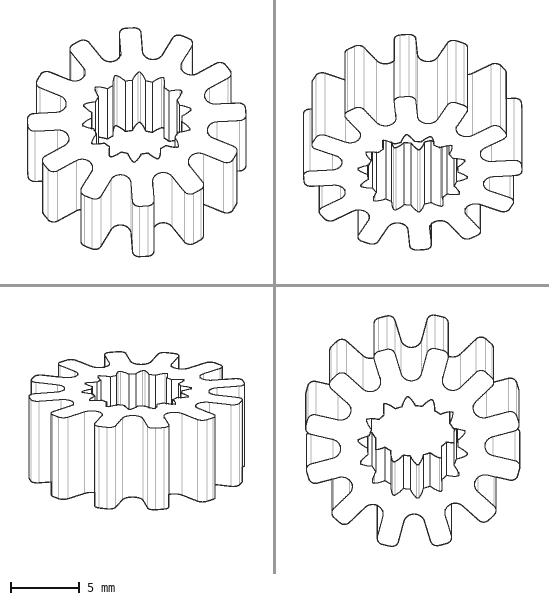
import cadquery as cq
import math

thickness = 6.35
tip_radius = 7.94
root_radius = 5.25
tooth_count = 12
tooth_width = 1.58
tooth_corner_radius = 0.5

bore_radius = 3.29
groove_count = 14
groove_depth = 0.71
groove_half_width = 0.48
groove_middle_radius = 3.65
groove_middle_half_width = 0.31
groove_tip_radius = 0.12
groove_tip_half_angle = 52.0

half_pitch = math.radians(180 / tooth_count)
gap_floor_radius = (root_radius * math.sin(half_pitch) - tooth_width / 2) / (1 - math.sin(half_pitch))
gap_floor_center = root_radius + gap_floor_radius
side_start = gap_floor_center * math.cos(half_pitch)


def make_tooth():
    """One tooth along +X, with rounded tip corners."""
    block_length = 2 * tip_radius
    block = cq.Workplane("XY").box(
        block_length, tooth_width, thickness, centered=(False, True, False)
    )
    tip_circle = cq.Workplane("XY").circle(tip_radius).extrude(thickness)
    return block.intersect(tip_circle).edges("|Z").edges(">X").fillet(tooth_corner_radius)


def make_hub():
    """Disc out to where the tooth sides start, with the round gap floors cut into it."""
    hub_radius = math.hypot(side_start, tooth_width / 2)
    gap_floors = (
        cq.Workplane("XY")
        .polarArray(gap_floor_center, 0, 360, tooth_count)
        .circle(gap_floor_radius)
        .extrude(thickness)
    )
    return cq.Workplane("XY").circle(hub_radius).extrude(thickness).cut(gap_floors)


def make_groove():
    """One groove of the bore along +X, with bowed flanks and a rounded tip."""
    mouth = math.sqrt(bore_radius**2 - groove_half_width**2)
    middle = groove_middle_radius
    tip = bore_radius + groove_depth
    tip_angle = math.radians(groove_tip_half_angle)
    shoulder = tip - groove_tip_radius * (1 - math.cos(tip_angle))
    shoulder_half_width = groove_tip_radius * math.sin(tip_angle)
    return (
        cq.Workplane("XY")
        .moveTo(0, 0)
        .lineTo(mouth, -groove_half_width)
        .threePointArc((middle, -groove_middle_half_width), (shoulder, -shoulder_half_width))
        .threePointArc((tip, 0), (shoulder, shoulder_half_width))
        .threePointArc((middle, groove_middle_half_width), (mouth, groove_half_width))
        .close()
        .extrude(thickness)
    )


def around_axis(shape, count, start_angle):
    """Evenly spaced copies of a shape about the Z axis, joined together."""
    copies = cq.Workplane("XY")
    for index in range(count):
        angle = start_angle + index * 360 / count
        copies = copies.union(shape.rotate((0, 0, 0), (0, 0, 1), angle))
    return copies


teeth = around_axis(make_tooth(), tooth_count, 180 / tooth_count)
grooves = around_axis(make_groove(), groove_count, 0)
bore = cq.Workplane("XY").circle(bore_radius).extrude(thickness).union(grooves)

result = make_hub().union(teeth).cut(bore)